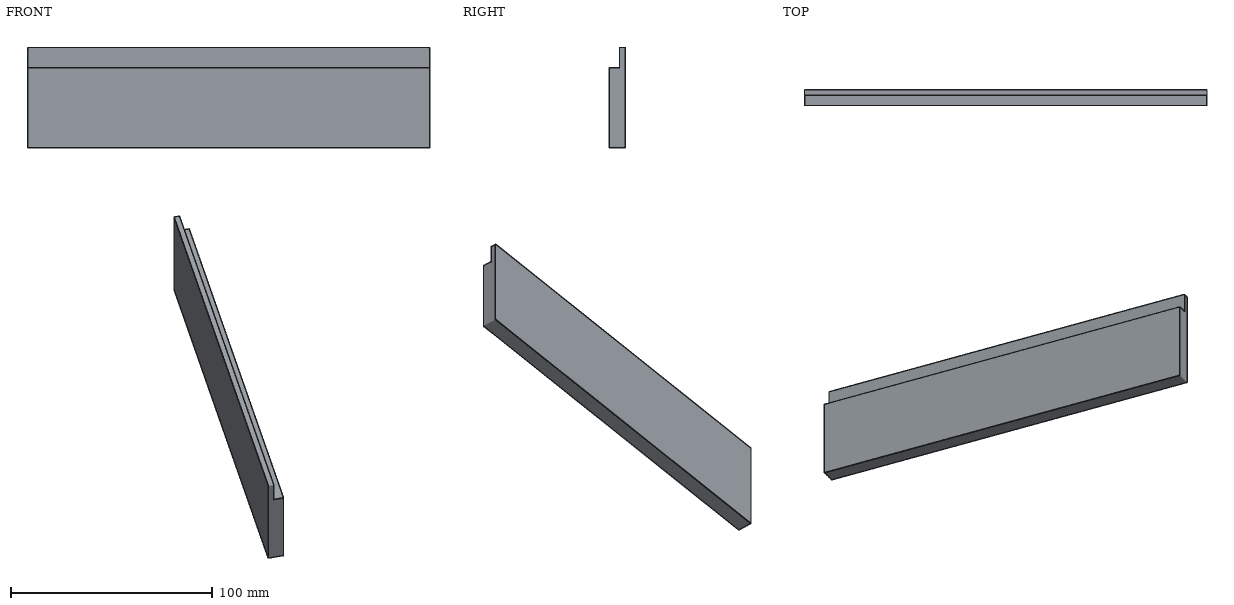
import cadquery as cq

length = 200.0
thickness = 8.0
height = 50.0

lip_height = 10.0
lip_thickness = 3.0

corner_radius = 0.5
edge_chamfer = 0.2

shoulder_height = height - lip_height
rebate_depth = thickness - lip_thickness

section = [
    (0, 0),
    (thickness, 0),
    (thickness, height),
    (rebate_depth, height),
    (rebate_depth, shoulder_height),
    (0, shoulder_height),
]
board = cq.Workplane("YZ").polyline(section).close().extrude(length)

board = board.faces("<Z or >Z").edges("|Y").fillet(corner_radius)

inner_corner = cq.selectors.NearestToPointSelector((length / 2, rebate_depth, shoulder_height))
outer_edges = cq.selectors.InverseSelector(inner_corner)
result = board.edges(outer_edges).chamfer(edge_chamfer)